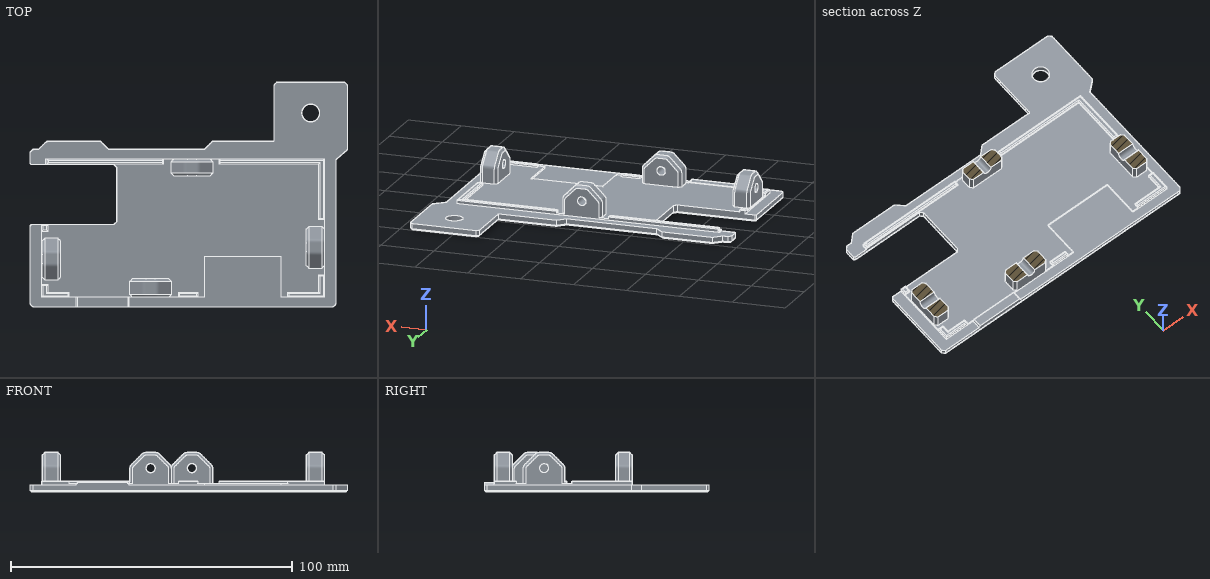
import cadquery as cq

plate_top = 2.5
deck_top = 3.0
sill_top = 3.3
rail_top = 4.0
lug_top = 14.1

overall_length = 113.0
overall_width = 80.0
plate_length = 108.9
back_edge = 56.2
corner_cut = 1.0
tip_cut = 0.5
underside_bevel = 0.6

slot_front = 29.4
slot_back = 50.6
slot_depth = 30.8

step_height = 2.8
step_run = 2.9
left_step_start = 3.0
left_step_end = 28.0
right_step_start = 62.0

tab_left = 86.8
tab_flare_start = 52.4
tab_flare_end = 55.9
tab_hole_diameter = 6.2
tab_hole_y = 69.0

deck_left = 4.2
deck_right = 104.9
deck_front = 3.5
deck_back = 52.7
arm_deck_left = 5.5
recess_left = 62.2
recess_right = 89.3
recess_back = 18.0
sill_left = 16.4
sill_right = 35.3
sill_end_slope = 0.5

rail_bevel_width = 0.5
rail_bevel_drop = 0.28
arm_rail_left = 6.1
long_rail_width = 1.7
side_rail_width = 2.1
back_rail_gap = (47.6, 67.2)
right_rail_gap = (11.4, 31.1)
left_rail_gap = (8.0, 26.9)
front_left_rail_end = 13.9
front_middle_rail = (52.8, 59.8)
front_right_rail_start = 91.6

lug_width = 14.9
lug_shoulder = 5.0
lug_rounding = 2.0
lug_bevel = 1.0
lug_thickness = 6.5
back_lug_thickness = 6.0
lug_hole_diameter = 3.2
lug_hole_height = 8.5
left_lug_inset = 0.17
front_lug_x = 42.9
back_lug_x = 57.6
left_lug_y = 17.1
right_lug_y = 21.2


def block(x_range, y_range, z_range):
    """Axis-aligned box given by its limits."""
    size = [high - low for low, high in (x_range, y_range, z_range)]
    corner = (x_range[0], y_range[0], z_range[0])
    return cq.Workplane("XY").box(*size, centered=False).translate(corner)


def make_plate():
    step_back = back_edge + step_height
    outline = [
        (corner_cut, 0),
        (plate_length - corner_cut, 0),
        (plate_length, corner_cut),
        (plate_length, tab_flare_start),
        (overall_length, tab_flare_end),
        (overall_length, overall_width - corner_cut),
        (overall_length - corner_cut, overall_width),
        (tab_left + corner_cut, overall_width),
        (tab_left, overall_width - corner_cut),
        (tab_left, step_back),
        (right_step_start + step_run, step_back),
        (right_step_start, back_edge),
        (left_step_end, back_edge),
        (left_step_end - step_run, step_back),
        (left_step_start + step_run, step_back),
        (left_step_start, back_edge),
        (corner_cut, back_edge),
        (0, back_edge - corner_cut),
        (0, slot_back + tip_cut),
        (tip_cut, slot_back),
        (slot_depth - corner_cut, slot_back),
        (slot_depth, slot_back - corner_cut),
        (slot_depth, slot_front + corner_cut),
        (slot_depth - corner_cut, slot_front),
        (tip_cut, slot_front),
        (0, slot_front - tip_cut),
        (0, corner_cut),
    ]
    plate = cq.Workplane("XY").polyline(outline).close().extrude(plate_top)
    plate = plate.faces("<Z").chamfer(underside_bevel)
    tab_hole_x = (tab_left + overall_length) / 2
    hole = cq.Workplane("XY").center(tab_hole_x, tab_hole_y).circle(tab_hole_diameter / 2).extrude(plate_top)
    return plate.cut(hole)


def make_deck():
    outline = [
        (deck_left, deck_front),
        (recess_left, deck_front),
        (recess_left, recess_back),
        (recess_right, recess_back),
        (recess_right, deck_front),
        (deck_right, deck_front),
        (deck_right, deck_back),
        (arm_deck_left, deck_back),
        (arm_deck_left, slot_back),
        (slot_depth - corner_cut, slot_back),
        (slot_depth, slot_back - corner_cut),
        (slot_depth, slot_front + corner_cut),
        (slot_depth - corner_cut, slot_front),
        (deck_left, slot_front),
    ]
    deck = cq.Workplane("XY").workplane(offset=plate_top)
    return deck.polyline(outline).close().extrude(deck_top - plate_top)


def bevelled_block(x_range, y_range, z_range):
    """Frustum whose four sides slope in by the rail bevel."""
    size = [high - low for low, high in (x_range, y_range)]
    height = z_range[1] - z_range[0]
    base = cq.Workplane("XY", origin=(sum(x_range) / 2, sum(y_range) / 2, z_range[0])).rect(*size)
    top = base.workplane(offset=height).rect(*[side - 2 * rail_bevel_width for side in size])
    return top.loft(ruled=True)


def make_rails():
    """Low rails with bevelled tops, joined into L shapes at three deck corners."""
    front = (deck_front, deck_front + long_rail_width)
    back = (deck_back - long_rail_width, deck_back)
    left = (deck_left, deck_left + side_rail_width)
    right = (deck_right - side_rail_width, deck_right)
    groups = [
        [((arm_rail_left, back_rail_gap[0]), back)],
        [((back_rail_gap[1], deck_right), back), (right, (right_rail_gap[1], deck_back))],
        [((front_right_rail_start, deck_right), front), (right, (deck_front, right_rail_gap[0]))],
        [(front_middle_rail, front)],
        [((deck_left, front_left_rail_end), front), (left, (deck_front, left_rail_gap[0]))],
        [(left, (left_rail_gap[1], slot_front))],
    ]
    shoulder_z = rail_top - rail_bevel_drop
    rails = []
    for legs in groups:
        rail = cq.Workplane("XY")
        cap = cq.Workplane("XY")
        for x_range, y_range in legs:
            rail = rail.union(block(x_range, y_range, (deck_top, shoulder_z)))
            cap = cap.union(bevelled_block(x_range, y_range, (shoulder_z, rail_top)))
        rails.append(rail.union(cap))
    return rails


def make_lug(thickness):
    """Lug centred on X = 0 with its front face on Y = 0."""
    half_width = lug_width / 2
    shoulder_z = lug_top - lug_shoulder
    outline = [
        (-half_width, plate_top),
        (half_width, plate_top),
        (half_width, shoulder_z),
        (half_width - lug_shoulder, lug_top),
        (lug_shoulder - half_width, lug_top),
        (-half_width, shoulder_z),
    ]
    lug = cq.Workplane("XZ").polyline(outline).close().extrude(-thickness)
    lug = lug.edges("|Y").edges("not <Z").fillet(lug_rounding)
    lug = lug.faces("<Y or >Y").edges("not <Z").chamfer(lug_bevel)
    hole = cq.Workplane("XZ").center(0, lug_hole_height).circle(lug_hole_diameter / 2).extrude(-thickness)
    return lug.cut(hole)


def make_lugs():
    lug = make_lug(lug_thickness)
    z_axis = ((0, 0, 0), (0, 0, 1))
    return [
        lug.translate((front_lug_x, deck_front, 0)),
        make_lug(back_lug_thickness).translate((back_lug_x, deck_back - back_lug_thickness, 0)),
        lug.rotate(*z_axis, -90).translate((deck_left + left_lug_inset, left_lug_y, 0)),
        lug.rotate(*z_axis, 90).translate((deck_right, right_lug_y, 0)),
    ]


def make_sill():
    """Raised step across the front rim, with sloping ends."""
    outline = [
        (sill_left, plate_top),
        (sill_right, plate_top),
        (sill_right - sill_end_slope, sill_top),
        (sill_left + sill_end_slope, sill_top),
    ]
    return cq.Workplane("XZ").polyline(outline).close().extrude(-deck_front)


result = make_plate().union(make_deck()).union(make_sill())
for part in make_rails() + make_lugs():
    result = result.union(part)